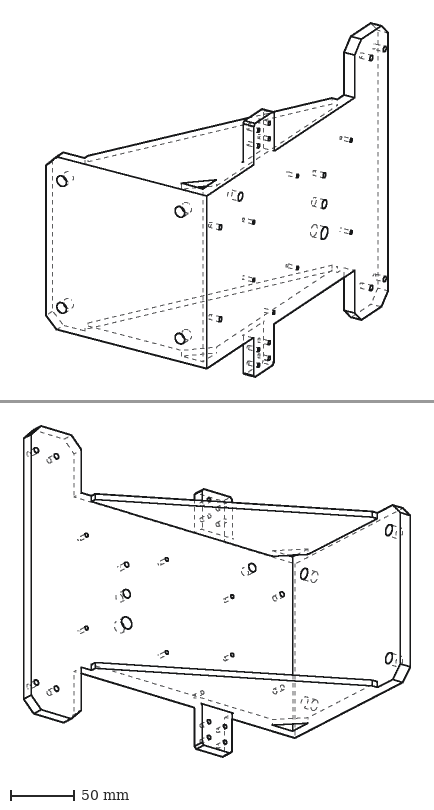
import cadquery as cq

depth = 150.0
length = 270.0
overall_height = 244.0
body_height = 150.0

plate_thickness = 10.0
rib_thickness = plate_thickness / 2
corner_chamfer = 10.0
ear_length = 50.0
rib_end_y = 210.0
rib_foot_inset = 30.0
relief_leg = 20.0

tab_width = 30.0
tab_height = 35.0
tab_center_y = 85.0
tab_chamfer = 2.0
tab_root_fillet = 1.0
tab_hole_diameter = 3.2
tab_hole_spacing_y = 16.0
tab_hole_spacing_z = 13.5
tab_hole_edge_distance = 8.0

front_hole_diameter = 9.0
front_hole_spacing = 110.2
front_hole_edge_distance = 14.8

ear_hole_diameter = 4.3
ear_hole_y = 245.0
ear_hole_spacing_y = 20.0
ear_hole_z = 100.0

small_hole_diameter = 3.0
medium_hole_diameter = 4.0
access_hole_diameter = 7.0
large_hole_diameter = 10.0

grid_hole_z = 40.0
grid_hole_y = (135.0, 215.0)
near_pair_y = 20.2

column_y = 175.0
column_spacing_z = 25.0
small_pair_y = 70.0

corner_access_y = 50.0
corner_access_z = 55.0
single_hole_y = 100.0
single_hole_z = -65.0

half_body = body_height / 2


def back_holes(diameter, points):
    """Cutters through the back plate at (Y, Z) points."""
    plane = cq.Workplane("YZ", origin=(-plate_thickness, 0, 0))
    return plane.pushPoints(points).circle(diameter / 2).extrude(plate_thickness)


def make_back_plate():
    """Back plate whose far end widens into two chamfered ears."""
    body = cq.Workplane("XY").box(plate_thickness, length, body_height, centered=(False, False, True))
    ears = cq.Workplane("XY").box(plate_thickness, ear_length, overall_height, centered=(False, False, True))
    ears = ears.edges("|X").chamfer(corner_chamfer).translate((0, length - ear_length, 0))
    return body.union(ears).translate((-plate_thickness, 0, 0))


def make_front_plate():
    """Square front plate with its two free corners chamfered."""
    plate = cq.Workplane("XY").box(depth, plate_thickness, body_height, centered=(False, False, True))
    plate = plate.translate((-depth, 0, 0))
    plate = plate.edges("|Y and <X").chamfer(corner_chamfer)
    hole_x = -depth + front_hole_edge_distance + front_hole_spacing / 2
    holes = (
        cq.Workplane("XZ", origin=(hole_x, 0, 0))
        .rarray(front_hole_spacing, front_hole_spacing, 2, 2)
        .circle(front_hole_diameter / 2)
        .extrude(-plate_thickness)
    )
    return plate.cut(holes)


def make_rib():
    """Upper triangular rib with a small triangular relief in its inner corner."""
    foot_x = -depth + rib_foot_inset
    outline = [
        (0, 0),
        (foot_x, 0),
        (foot_x, plate_thickness + rib_thickness),
        (-plate_thickness - rib_thickness, rib_end_y),
        (0, rib_end_y),
    ]
    relief = [
        (-plate_thickness, plate_thickness),
        (-plate_thickness - relief_leg, plate_thickness),
        (-plate_thickness, plate_thickness + relief_leg),
    ]
    plane = cq.Workplane("XY", origin=(0, 0, half_body - rib_thickness))
    rib = plane.polyline(outline).close().extrude(rib_thickness)
    return rib.cut(plane.polyline(relief).close().extrude(rib_thickness))


def make_tab():
    """Upper tab with chamfered tip corners, filleted roots and four holes."""
    near_y = tab_center_y - tab_width / 2
    far_y = tab_center_y + tab_width / 2
    tip_z = half_body + tab_height
    tab = (
        cq.Workplane("YZ", origin=(-plate_thickness, 0, 0))
        .moveTo(near_y - tab_root_fillet, half_body)
        .radiusArc((near_y, half_body + tab_root_fillet), -tab_root_fillet)
        .lineTo(near_y, tip_z - tab_chamfer)
        .lineTo(near_y + tab_chamfer, tip_z)
        .lineTo(far_y - tab_chamfer, tip_z)
        .lineTo(far_y, tip_z - tab_chamfer)
        .lineTo(far_y, half_body + tab_root_fillet)
        .radiusArc((far_y + tab_root_fillet, half_body), -tab_root_fillet)
        .close()
        .extrude(plate_thickness)
    )
    hole_y = [tab_center_y + side * tab_hole_spacing_y / 2 for side in (-1, 1)]
    hole_z = [tip_z - tab_hole_edge_distance - row * tab_hole_spacing_z for row in (0, 1)]
    return tab.cut(back_holes(tab_hole_diameter, [(y, z) for y in hole_y for z in hole_z]))


def make_back_holes():
    """All holes through the back plate and its ears."""
    ear_y = (ear_hole_y, ear_hole_y + ear_hole_spacing_y)
    both_sides = (-1, 1)
    ear_points = [(y, s * ear_hole_z) for y in ear_y for s in both_sides]
    small_points = [(y, s * grid_hole_z) for y in grid_hole_y for s in both_sides]
    small_points += [(small_pair_y, s * column_spacing_z) for s in both_sides]
    small_points += [(single_hole_y, single_hole_z)]
    medium_points = [(near_pair_y, s * grid_hole_z) for s in both_sides]
    medium_points += [(column_y, column_spacing_z)]
    access_points = [(column_y, 0), (corner_access_y, corner_access_z)]
    return (
        back_holes(ear_hole_diameter, ear_points)
        .add(back_holes(small_hole_diameter, small_points))
        .add(back_holes(medium_hole_diameter, medium_points))
        .add(back_holes(access_hole_diameter, access_points))
        .add(back_holes(large_hole_diameter, [(column_y, -column_spacing_z)]))
        .combine()
    )


bracket = make_back_plate().union(make_front_plate())
for half in (make_rib(), make_tab()):
    bracket = bracket.union(half).union(half.mirror("XY"))
result = bracket.cut(make_back_holes())